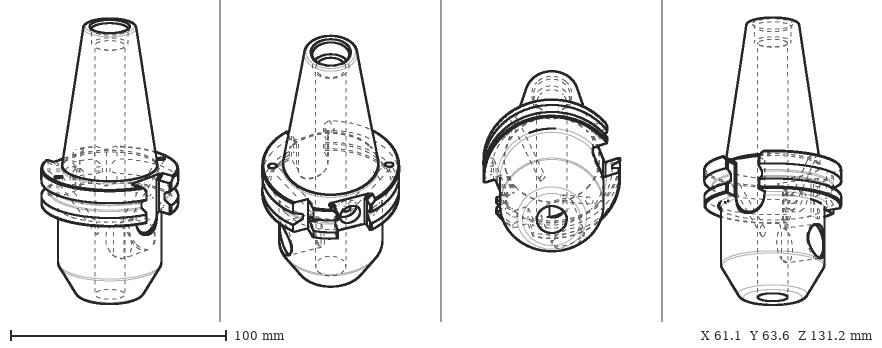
import cadquery as cq
import math

TOTAL_LENGTH = 131.2

GAUGE_HEIGHT = 63.0
GAUGE_RADIUS = 22.2
TAPER_RATIO = 7 / 24
SHANK_TOP_FILLET = 0.9
SHANK_ROOT_RADIUS = 21.9
SHANK_ROOT_FILLET = 0.8

FLANGE_RADIUS = 31.8
FLANGE_BOTTOM = 44.0
FLANGE_TOP = 62.0
FLANGE_EDGE_CHAMFER = 0.5
GROOVE_HEIGHT = 52.0
GROOVE_FLOOR_RADIUS = 28.0
GROOVE_FLOOR_WIDTH = 2.9
GROOVE_FLANK_ANGLE = 30
GROOVE_FILLET = 0.7

SLOT_WIDTH = 16.0
SLOT_LEAD_IN = 2.8
SLOT_FLOOR_CHAMFER = 0.8
SLOT_MOUTH_CHAMFER = 0.8
SLOT_END_HEIGHT = 34.8
LEFT_SLOT_FLOOR = 25.0
RIGHT_SLOT_FLOOR = 22.7
NOTCH_CORNER = 18.5

CHIP_RADIUS = 5.0
CHIP_DEPTH = 4.6
CHIP_CONE_RADIUS = 2.0
CHIP_CONE_ANGLE = 60

COOLANT_DIAMETER = 3.2
COOLANT_CIRCLE_RADIUS = 27.0
COOLANT_TILT = 35
COOLANT_ANGLES = (70, 250)

BODY_RADIUS = 24.0
NECK_FILLET = 1.3
NOSE_RADIUS = 15.2
NOSE_CONE_ANGLE = 30
SHOULDER_FILLET = 2.0
NOSE_FILLET = 3.0

BORE_RADIUS = 7.0
PILOT_RADIUS = 8.5
PILOT_DEPTH = 9.3
PILOT_SEAT_HEIGHT = 0.8
PILOT_CHAMFER_WIDTH = 0.8
PILOT_CHAMFER_DEPTH = 1.3

SCREW_RADIUS = 8.0
SCREW_HEIGHT = 24.0
SCREW_TIP = 6.2
SCREW_LENGTH = 16.0


def revolve(points):
    """Solid of revolution about Z from (radius, height) points."""
    return cq.Workplane("XZ").polyline(points).close().revolve(360, (0, 0, 0), (0, 1, 0))


def make_body():
    """Cylindrical body below the flange, with its rounded conical nose."""
    cone_top = (BODY_RADIUS - NOSE_RADIUS) / math.tan(math.radians(NOSE_CONE_ANGLE))
    body = revolve([
        (0, 0),
        (NOSE_RADIUS, 0),
        (BODY_RADIUS, cone_top),
        (BODY_RADIUS, FLANGE_BOTTOM),
        (0, FLANGE_BOTTOM),
    ])
    body = body.faces("<Z").edges().fillet(NOSE_FILLET)
    shoulder = cq.selectors.NearestToPointSelector((0, 0, cone_top))
    return body.edges("%CIRCLE").edges(shoulder).fillet(SHOULDER_FILLET)


def make_ring_fillet(radius, height, fillet, side):
    """Concave fillet between a cylinder and a flange face; side is +1 above the face, -1 below it."""
    end = height + side * fillet
    middle = fillet * (1 - math.sqrt(0.5))
    return (
        cq.Workplane("XZ")
        .moveTo(0, height)
        .lineTo(radius + fillet, height)
        .threePointArc((radius + middle, height + side * middle), (radius, end))
        .lineTo(0, end)
        .close()
        .revolve(360, (0, 0, 0), (0, 1, 0))
    )


def make_flange():
    """Flange disc with a V-groove whose floor corners are rounded."""
    flank = (FLANGE_RADIUS - GROOVE_FLOOR_RADIUS) * math.tan(math.radians(GROOVE_FLANK_ANGLE))
    half_floor = GROOVE_FLOOR_WIDTH / 2
    half_mouth = half_floor + flank
    rim = FLANGE_RADIUS - FLANGE_EDGE_CHAMFER
    flange = revolve([
        (0, FLANGE_BOTTOM),
        (rim, FLANGE_BOTTOM),
        (FLANGE_RADIUS, FLANGE_BOTTOM + FLANGE_EDGE_CHAMFER),
        (FLANGE_RADIUS, GROOVE_HEIGHT - half_mouth),
        (GROOVE_FLOOR_RADIUS, GROOVE_HEIGHT - half_floor),
        (GROOVE_FLOOR_RADIUS, GROOVE_HEIGHT + half_floor),
        (FLANGE_RADIUS, GROOVE_HEIGHT + half_mouth),
        (FLANGE_RADIUS, FLANGE_TOP - FLANGE_EDGE_CHAMFER),
        (rim, FLANGE_TOP),
        (0, FLANGE_TOP),
    ])
    floor_edges = cq.selectors.RadiusNthSelector(0)
    return flange.edges("%CIRCLE").edges(floor_edges).fillet(GROOVE_FILLET)


def make_shank():
    """Tapered shank on a short, slightly slimmer cylindrical root."""
    top_radius = GAUGE_RADIUS - (TOTAL_LENGTH - GAUGE_HEIGHT) * TAPER_RATIO / 2
    shank = revolve([
        (0, FLANGE_TOP),
        (SHANK_ROOT_RADIUS, FLANGE_TOP),
        (SHANK_ROOT_RADIUS, GAUGE_HEIGHT),
        (GAUGE_RADIUS, GAUGE_HEIGHT),
        (top_radius, TOTAL_LENGTH),
        (0, TOTAL_LENGTH),
    ])
    return shank.faces(">Z").edges().fillet(SHANK_TOP_FILLET)


def make_slot(side, floor):
    """Cutter for one drive slot: flared at the top, round at its lower end; side is +1 or -1 along X."""
    half = SLOT_WIDTH / 2
    flare = half + SLOT_LEAD_IN
    above_flange = FLANGE_TOP + SLOT_LEAD_IN
    depth = FLANGE_RADIUS - floor
    outline = (
        cq.Workplane("YZ", origin=(side * floor, 0, 0))
        .moveTo(-flare, FLANGE_TOP)
        .lineTo(-half, FLANGE_TOP - SLOT_LEAD_IN)
        .lineTo(-half, SLOT_END_HEIGHT + half)
        .threePointArc((0, SLOT_END_HEIGHT), (half, SLOT_END_HEIGHT + half))
        .lineTo(half, FLANGE_TOP - SLOT_LEAD_IN)
        .lineTo(flare, FLANGE_TOP)
        .lineTo(flare, above_flange)
        .lineTo(-flare, above_flange)
        .close()
        .extrude(side * depth)
    )
    floor_face = "<X" if side > 0 else ">X"
    return outline.faces(floor_face).edges().chamfer(SLOT_FLOOR_CHAMFER)


def break_slot_mouths(holder):
    """Chamfer the upright edges where the drive slots leave the flange rim."""
    half = SLOT_WIDTH / 2
    mouth = math.sqrt(FLANGE_RADIUS**2 - half**2)
    reach = SLOT_MOUTH_CHAMFER / 2
    for x in (-mouth, mouth):
        for y in (-half, half):
            corner = cq.selectors.BoxSelector(
                (x - reach, y - reach, FLANGE_BOTTOM), (x + reach, y + reach, FLANGE_TOP))
            holder = holder.edges("|Z").edges(corner).chamfer(SLOT_MOUTH_CHAMFER)
    return holder


def make_notch():
    """Block that squares off the flange rim at the (-X, +Y) corner."""
    height = FLANGE_TOP - FLANGE_BOTTOM
    block = cq.Workplane("XY").box(FLANGE_RADIUS, FLANGE_RADIUS, height, centered=False)
    return block.translate((-NOTCH_CORNER - FLANGE_RADIUS, NOTCH_CORNER, FLANGE_BOTTOM))


def make_chip_pocket():
    """Round pocket with a small conical centre mark in its floor."""
    cone_depth = CHIP_CONE_RADIUS / math.tan(math.radians(CHIP_CONE_ANGLE))
    inward = cq.Vector(1, 0, 0)
    mouth = cq.Vector(-LEFT_SLOT_FLOOR, 0, GROOVE_HEIGHT)
    pocket = cq.Solid.makeCylinder(CHIP_RADIUS, CHIP_DEPTH, mouth, inward)
    cone = cq.Solid.makeCone(CHIP_CONE_RADIUS, 0, cone_depth, mouth + inward * CHIP_DEPTH, inward)
    return cq.Workplane(pocket.fuse(cone))


def make_coolant_hole(angle):
    """Hole that leans inward from the flange face to the bore axis."""
    tilt = math.radians(COOLANT_TILT)
    turn = math.radians(angle)
    length = COOLANT_CIRCLE_RADIUS / math.sin(tilt)
    overrun = COOLANT_DIAMETER
    outward = cq.Vector(math.cos(turn), math.sin(turn), 0)
    drill = outward * -math.sin(tilt) + cq.Vector(0, 0, -math.cos(tilt))
    mouth = outward * COOLANT_CIRCLE_RADIUS + cq.Vector(0, 0, FLANGE_TOP)
    start = mouth - drill * overrun
    return cq.Workplane(cq.Solid.makeCylinder(COOLANT_DIAMETER / 2, length + overrun, start, drill))


def make_bore():
    """Through bore that opens into a chamfered pilot at the shank end."""
    seat = TOTAL_LENGTH - PILOT_DEPTH
    return revolve([
        (0, 0),
        (BORE_RADIUS, 0),
        (BORE_RADIUS, seat),
        (PILOT_RADIUS, seat + PILOT_SEAT_HEIGHT),
        (PILOT_RADIUS, TOTAL_LENGTH - PILOT_CHAMFER_DEPTH),
        (PILOT_RADIUS + PILOT_CHAMFER_WIDTH, TOTAL_LENGTH),
        (0, TOTAL_LENGTH),
    ])


def make_screw_cylinder(length):
    """Cylinder that starts at the screw tip and points outward along +Y."""
    tip = cq.Vector(0, SCREW_TIP, SCREW_HEIGHT)
    outward = cq.Vector(0, 1, 0)
    return cq.Workplane(cq.Solid.makeCylinder(SCREW_RADIUS, length, tip, outward))


def make_holder():
    """Tool holder: taper shank, flange and body with all their cuts."""
    holder = make_body().union(make_flange()).union(make_shank())
    holder = holder.union(make_ring_fillet(BODY_RADIUS, FLANGE_BOTTOM, NECK_FILLET, -1))
    holder = holder.union(make_ring_fillet(SHANK_ROOT_RADIUS, FLANGE_TOP, SHANK_ROOT_FILLET, 1))
    holder = holder.cut(make_slot(-1, LEFT_SLOT_FLOOR)).cut(make_slot(1, RIGHT_SLOT_FLOOR))
    holder = break_slot_mouths(holder)
    holder = holder.cut(make_notch()).cut(make_chip_pocket())
    for angle in COOLANT_ANGLES:
        holder = holder.cut(make_coolant_hole(angle))
    return holder.cut(make_bore()).cut(make_screw_cylinder(BODY_RADIUS))


def make_clamping_screw():
    """Side screw whose flat tip reaches just inside the bore."""
    return make_screw_cylinder(SCREW_LENGTH)


holder = make_holder()
clamping_screw = make_clamping_screw()
result = cq.Compound.makeCompound([holder.val(), clamping_screw.val()])